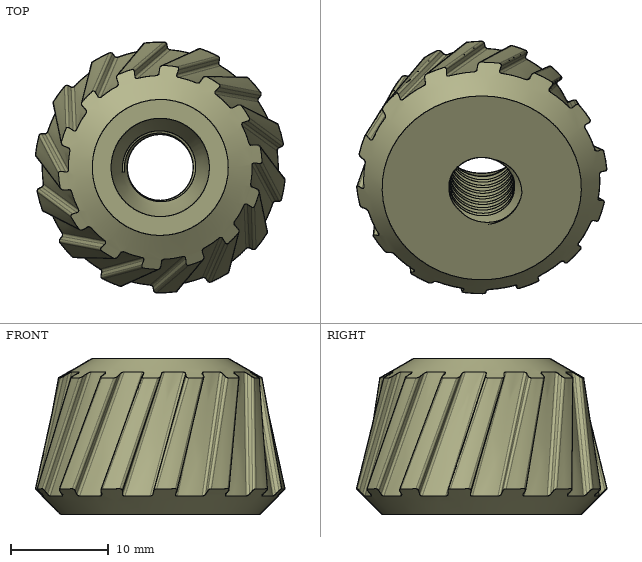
import cadquery as cq
import math

HEIGHT = 16.0
BOTTOM_RADIUS = 10.2
TOP_RADIUS = 6.95
BOTTOM_CHAMFER_ANGLE = 45
TOP_CHAMFER_ANGLE = 30

TOOTH_COUNT = 14
LOW_ROOT_RADIUS = 12.58
HIGH_ROOT_RADIUS = 9.2
TOOTH_HEIGHT = 0.95
TOOTH_ANGLE = 10.9
LOW_TOOTH_START = 84.1
TWIST = 24.6
TOOTH_ROUNDING = 0.25

BORE_RADIUS = 6.73 / 2
THREAD_ROOT_RADIUS = 8.3 / 2
THREAD_PITCH = 1.5
THREAD_ROOT_FLAT = 0.18
THREAD_FLANK_ANGLE = 23
THREAD_TOP = 12.25
THREAD_END_ANGLE = 187
CUT_TOLERANCE = 0.001
SEAT_RADIUS = 5.03
SEAT_DEPTH = 4.88
SEAT_MIDDLE_RADIUS = 4.36
SEAT_MIDDLE_DEPTH = 2.15


def polar(radius, angle):
    return radius * math.cos(math.radians(angle)), radius * math.sin(math.radians(angle))


def revolved(section):
    return section.close().revolve(360, (0, 0, 0), (0, 1, 0))


def toothed_section(root_radius, start_angle, z):
    """Closed outline of all teeth at one height, with rounded tips and roots."""
    tip_radius = root_radius + TOOTH_HEIGHT
    pitch_angle = 360 / TOOTH_COUNT
    outline = cq.Workplane("XY").moveTo(*polar(root_radius, start_angle))
    for tooth in range(TOOTH_COUNT):
        start = start_angle + tooth * pitch_angle
        end = start + TOOTH_ANGLE
        next_start = start + pitch_angle
        outline = (
            outline.lineTo(*polar(tip_radius, start))
            .threePointArc(polar(tip_radius, (start + end) / 2), polar(tip_radius, end))
            .lineTo(*polar(root_radius, end))
            .threePointArc(polar(root_radius, (end + next_start) / 2), polar(root_radius, next_start))
        )
    face = cq.Face.makeFromWires(outline.close().val())
    return face.fillet2D(TOOTH_ROUNDING, face.Vertices()).outerWire().translate(cq.Vector(0, 0, z))


def toothed_body():
    """Solid between the low and high outlines, with straight lines joining matching points."""
    low = toothed_section(LOW_ROOT_RADIUS, LOW_TOOTH_START, 0)
    high = toothed_section(HIGH_ROOT_RADIUS, LOW_TOOTH_START + TWIST, HEIGHT)
    sides = [cq.Face.makeRuledSurface(a, b) for a, b in zip(low.Edges(), high.Edges())]
    ends = [cq.Face.makeFromWires(low), cq.Face.makeFromWires(high)]
    return cq.Workplane(cq.Solid.makeSolid(cq.Shell.makeShell(sides + ends)))


def blank():
    """Turned blank carrying both chamfers, wide enough to leave the tooth tips untouched."""
    rim_radius = LOW_ROOT_RADIUS + 2 * TOOTH_HEIGHT
    rim_low_z = (rim_radius - BOTTOM_RADIUS) * math.tan(math.radians(BOTTOM_CHAMFER_ANGLE))
    rim_high_z = HEIGHT - (rim_radius - TOP_RADIUS) * math.tan(math.radians(TOP_CHAMFER_ANGLE))
    return revolved(
        cq.Workplane("XZ")
        .lineTo(BOTTOM_RADIUS, 0)
        .lineTo(rim_radius, rim_low_z)
        .lineTo(rim_radius, rim_high_z)
        .lineTo(TOP_RADIUS, HEIGHT)
        .lineTo(0, HEIGHT)
    )


def bore():
    """Plain bore opening into the curved seat at the top."""
    return revolved(
        cq.Workplane("XZ")
        .lineTo(BORE_RADIUS, 0)
        .lineTo(BORE_RADIUS, HEIGHT - SEAT_DEPTH)
        .threePointArc((SEAT_MIDDLE_RADIUS, HEIGHT - SEAT_MIDDLE_DEPTH), (SEAT_RADIUS, HEIGHT))
        .lineTo(0, HEIGHT)
    )


def thread_groove():
    """Right-handed helical groove running down through the bottom face."""
    turns = math.ceil(THREAD_TOP / THREAD_PITCH) + 1
    length = turns * THREAD_PITCH
    depth = THREAD_ROOT_RADIUS - BORE_RADIUS
    root_half = THREAD_ROOT_FLAT / 2
    mouth_half = root_half + depth * math.tan(math.radians(THREAD_FLANK_ANGLE))
    path = cq.Wire.makeHelix(THREAD_PITCH, length, BORE_RADIUS)
    groove = (
        cq.Workplane("XZ")
        .moveTo(BORE_RADIUS, -mouth_half)
        .lineTo(THREAD_ROOT_RADIUS, -root_half)
        .lineTo(THREAD_ROOT_RADIUS, root_half)
        .lineTo(BORE_RADIUS, mouth_half)
        .close()
        .sweep(cq.Workplane(path), isFrenet=True)
    )
    return groove.rotate((0, 0, 0), (0, 0, 1), THREAD_END_ANGLE).translate((0, 0, THREAD_TOP - length))


result = toothed_body().intersect(blank()).cut(bore()).cut(thread_groove(), tol=CUT_TOLERANCE)